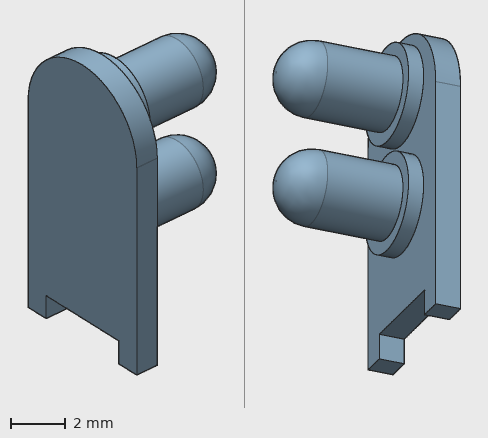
import cadquery as cq

total_height = 12.0
plate_width = 6.0
plate_thickness = 1.0
notch_width = 4.0
notch_height = 1.0

total_depth = 6.0
flange_diameter = 3.85
flange_thickness = 0.6
pin_diameter = 2.85
pin_tip_radius = 1.4
lower_pin_height = 5.3
pin_spacing = 4.4
pin_heights = (lower_pin_height, lower_pin_height + pin_spacing)

pin_length = total_depth - plate_thickness


def back_plane(height):
    """Plane on the back face of the plate, facing +Y, centred at a height."""
    return cq.Plane(origin=(0, plate_thickness, height), xDir=(1, 0, 0), normal=(0, 1, 0))


def make_plate():
    half_width = plate_width / 2
    half_notch = notch_width / 2
    shoulder_height = total_height - half_width
    return (
        cq.Workplane("XZ")
        .moveTo(-half_width, 0)
        .lineTo(-half_notch, 0)
        .lineTo(-half_notch, notch_height)
        .lineTo(half_notch, notch_height)
        .lineTo(half_notch, 0)
        .lineTo(half_width, 0)
        .lineTo(half_width, shoulder_height)
        .threePointArc((0, total_height), (-half_width, shoulder_height))
        .close()
        .extrude(-plate_thickness)
    )


def make_pin(height):
    plane = back_plane(height)
    flange = cq.Workplane(plane).circle(flange_diameter / 2).extrude(flange_thickness)
    shaft = cq.Workplane(plane).circle(pin_diameter / 2).extrude(pin_length)
    rounded_shaft = shaft.faces(">Y").edges().fillet(pin_tip_radius)
    return flange.union(rounded_shaft)


result = make_plate()
for pin_height in pin_heights:
    result = result.union(make_pin(pin_height))